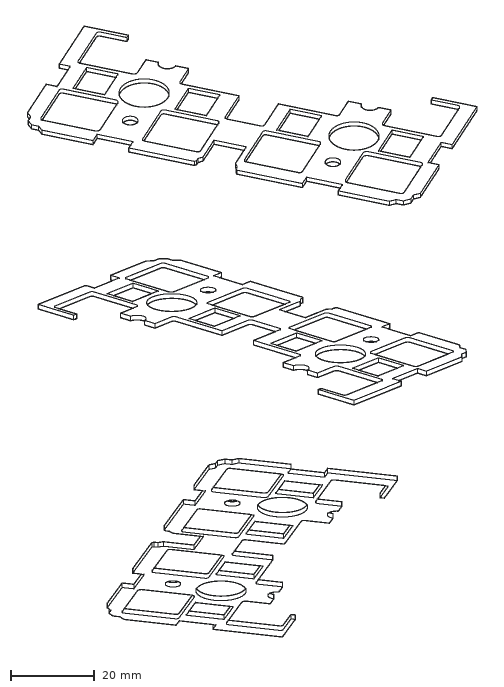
import cadquery as cq

length = 100
width = 45.2
thickness = 1.2
half_length = length / 2
half_width = width / 2

post_x = 25.8

opening_outer_x = 46.2
post_outer_x = 31.2
post_inner_x = 20.3
opening_inner_x = 5.6
opening_top = -4.4
opening_bottom = -18.5
corner_radius = 0.7
post_corner_radius = 1

window_count = 4
window_pitch = 25.9
window_length = 8
window_width = 9.4
window_shift = -0.5
window_y = 1.5

large_hole_diameter = 12
large_hole_x = 26.7
large_hole_y = 0.7
small_hole_diameter = 3.7
small_hole_y = -11.5
scallop_radius = 2.2
scallop_y = 14.4

arm_tip_x = 38.7
arm_bottom = 21.5
post_top = 14.2
shoulder_y = 7.4
neck_top = -2.9
neck_bottom = -12.5
upper_gap_x = 5
lower_gap_x = 4.1
side_notch_depth = 2.8
side_notch_top = 5.3
side_notch_bottom = -3.8
bottom_notch_inner_x = 22.1
bottom_notch_top = -19.7

corner_step = 1.3
corner_middle_bevel = 1.4
corner_run = 1.8
corner_size = 2 * corner_step + corner_middle_bevel + corner_run
foot_upper_bevel_x = 0.9
foot_upper_bevel_y = 1.1
foot_lower_bevel_x = 0.4
foot_lower_bevel_y = 0.5
foot_bevel_start = -20.1


def half_outline():
    """Points of the right half, from the top of the neck on the centre line, clockwise."""
    notch_x = half_length - side_notch_depth
    corner_top = -half_width + corner_size
    corner_left = half_length - corner_size
    foot_step_x = lower_gap_x + foot_upper_bevel_x
    return [
        (0, neck_top),
        (upper_gap_x, neck_top),
        (upper_gap_x, shoulder_y),
        (post_inner_x, shoulder_y),
        (post_inner_x, post_top),
        (post_outer_x, post_top),
        (post_outer_x, shoulder_y),
        (opening_outer_x, shoulder_y),
        (opening_outer_x, arm_bottom),
        (arm_tip_x, arm_bottom),
        (arm_tip_x, half_width),
        (half_length, half_width),
        (half_length, side_notch_top),
        (notch_x, side_notch_top),
        (notch_x, side_notch_bottom),
        (half_length, side_notch_bottom),
        (half_length, corner_top),
        (half_length - corner_step, corner_top - corner_step),
        (half_length - corner_step, corner_top - corner_step - corner_run),
        (half_length - corner_step - corner_middle_bevel, -half_width + corner_step),
        (corner_left + corner_step, -half_width + corner_step),
        (corner_left, -half_width),
        (post_outer_x, -half_width),
        (post_outer_x, bottom_notch_top),
        (bottom_notch_inner_x, bottom_notch_top),
        (bottom_notch_inner_x, -half_width),
        (foot_step_x + foot_lower_bevel_x, -half_width),
        (foot_step_x, -half_width + foot_lower_bevel_y),
        (foot_step_x, foot_bevel_start - foot_upper_bevel_y),
        (lower_gap_x, foot_bevel_start),
        (lower_gap_x, neck_bottom),
        (0, neck_bottom),
    ]


def round_corner(body, x, y, radius):
    """Fillet the upright edge at one corner of the body."""
    edge = body.edges("|Z").edges(cq.NearestToPointSelector((x, y, thickness / 2)))
    return edge.fillet(radius)


def prism(x_min, x_max, y_min, y_max):
    """Rectangular cutter through the plate, given its limits in X and Y."""
    return cq.Workplane().box(
        x_max - x_min, y_max - y_min, thickness, centered=False
    ).translate((x_min, y_min, 0))


def cylinder(x, y, radius):
    """Round cutter through the plate."""
    return cq.Workplane().center(x, y).circle(radius).extrude(thickness)


def half_plate():
    """Right half of the plate with every feature that is mirrored about X = 0."""
    body = cq.Workplane().polyline(half_outline()).close().extrude(thickness)
    inside_corners = [
        (upper_gap_x, neck_top),
        (post_inner_x, shoulder_y),
        (opening_outer_x, shoulder_y),
        (opening_outer_x, arm_bottom),
    ]
    for x, y in inside_corners:
        body = round_corner(body, x, y, corner_radius)
    body = round_corner(body, post_outer_x, shoulder_y, post_corner_radius)

    inner_opening = prism(opening_inner_x, post_inner_x, opening_bottom, opening_top)
    body = body.cut(inner_opening.edges("|Z").fillet(corner_radius))

    outer_opening = prism(post_outer_x, opening_outer_x, opening_bottom, opening_top)
    outer_opening = outer_opening.edges("|Z and <X").fillet(post_corner_radius)
    body = body.cut(outer_opening.edges("|Z and >X").fillet(corner_radius))

    body = body.cut(cylinder(large_hole_x, large_hole_y, large_hole_diameter / 2))
    body = body.cut(cylinder(post_x, small_hole_y, small_hole_diameter / 2))
    return body.cut(cylinder(post_x, scallop_y, scallop_radius))


right_half = half_plate()
result = right_half.union(right_half.mirror("YZ"))

for index in range(window_count):
    window_x = window_shift + (index - (window_count - 1) / 2) * window_pitch
    window_left = window_x - window_length / 2
    window_bottom = window_y - window_width / 2
    result = result.cut(
        prism(window_left, window_left + window_length, window_bottom, window_bottom + window_width)
    )

result = result.translate((0, 0, -thickness / 2))